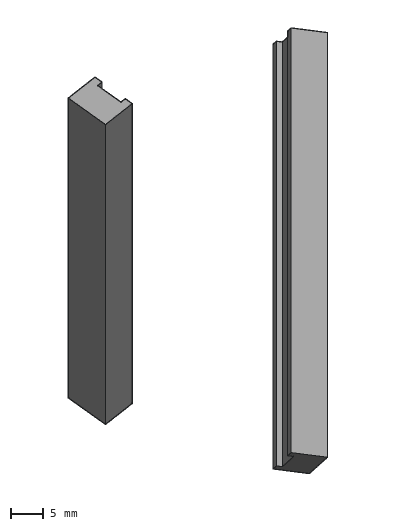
import cadquery as cq

width = 8.0
depth = 6.0
length = 70.0

groove_width = 5.0
groove_depth = 1.0

bar = cq.Workplane("XY").box(width, depth, length)

groove = (
    cq.Workplane("XY")
    .box(groove_width, groove_depth, length)
    .translate((0, (depth - groove_depth) / 2, 0))
)

result = bar.cut(groove)